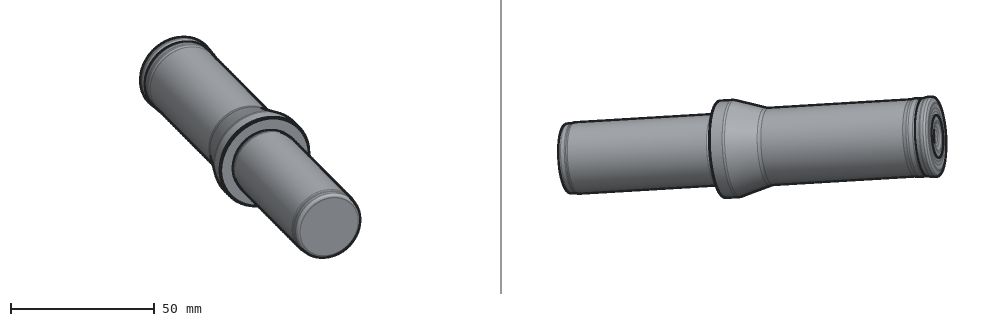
import cadquery as cq
import math

overall_length = 134.0
shank_length = 56.0
flange_back = overall_length - shank_length

head_radius = 14.0
head_length = 4.5
head_corner_round = 0.8
head_land_end = 2.75
relief_round = 1.5
relief_end_radius = 13.65

recess_depth = 0.9
recess_flat_radius = 0.5
recess_floor_depth = 0.7
recess_floor_radius = 2.9
recess_floor_round = 5.5
rim_inner_radius = 5.25
rim_inner_round = 2.0
rim_outer_radius = 7.15
rim_outer_round = 0.6
rim_wall_depth = 0.18
rim_wall_radius = 7.45
valley_depth = 0.41
valley_radius = 9.3
valley_round = 5.7
ridge_depth = 0.2
ridge_radius = 11.75
ridge_round = 1.2
shoulder_depth = 0.85

body_radius = 13.5
neck_end = 5.35
neck_end_radius = 13.6
collar_radius = 13.75
collar_start = 6.9
collar_end = 7.7
collar_back_radius = 13.72
collar_taper_end = 8.95
cone_start = 60.8
cone_foot_round = 4.5
flange_radius = 17.0
flange_start = 72.7
flange_front_round = 3.0
flange_back_chamfer = 0.4

shank_radius = 12.5
relieved_radius = 12.25
front_relief_length = 1.15
rear_relief_length = 2.8
relief_taper_length = 0.9
relief_taper_round = 2.0
shank_end_round = 1.2
front_relief_end = flange_back + front_relief_length
rear_relief_start = overall_length - rear_relief_length


def tangent_arc(before, corner, after, radius):
    """Start, middle and end of the arc that rounds a corner of an outline."""
    corner = cq.Vector(*corner)
    to_before = (cq.Vector(*before) - corner).normalized()
    to_after = (cq.Vector(*after) - corner).normalized()
    half_angle = to_before.getAngle(to_after) / 2
    setback = radius / math.tan(half_angle)
    bisector = (to_before + to_after).normalized()
    middle = corner + bisector * (radius / math.sin(half_angle) - radius)
    points = (corner + to_before * setback, middle, corner + to_after * setback)
    return [(point.x, point.y) for point in points]


def turned(outline):
    """Revolve about X an outline of (x, radius) corners, or (x, radius, rounding) where rounded."""
    corners = [corner[:2] for corner in outline]
    profile = cq.Workplane("XY").moveTo(*corners[0])
    for index in range(1, len(outline)):
        if len(outline[index]) == 3:
            start, middle, end = tangent_arc(*corners[index - 1:index + 2], outline[index][2])
            profile = profile.lineTo(*start).threePointArc(middle, end)
        else:
            profile = profile.lineTo(*corners[index])
    return profile.close().revolve(360, (0, 0, 0), (1, 0, 0))


head = turned([
    (head_length, 0),
    (recess_depth, 0),
    (recess_depth, recess_flat_radius),
    (recess_floor_depth, recess_floor_radius, recess_floor_round),
    (0, rim_inner_radius, rim_inner_round),
    (0, rim_outer_radius, rim_outer_round),
    (rim_wall_depth, rim_wall_radius),
    (valley_depth, valley_radius, valley_round),
    (ridge_depth, ridge_radius, ridge_round),
    (shoulder_depth, head_radius, head_corner_round),
    (head_land_end, head_radius, relief_round),
    (head_length, relief_end_radius),
])

holder = turned([
    (head_length, 0),
    (head_length, relief_end_radius),
    (neck_end, neck_end_radius),
    (collar_start, collar_radius),
    (collar_end, collar_back_radius),
    (collar_taper_end, body_radius),
    (cone_start, body_radius, cone_foot_round),
    (flange_start, flange_radius, flange_front_round),
    (flange_back - flange_back_chamfer, flange_radius),
    (flange_back, flange_radius - flange_back_chamfer),
    (flange_back, relieved_radius),
    (front_relief_end, relieved_radius, relief_taper_round),
    (front_relief_end + relief_taper_length, shank_radius),
    (rear_relief_start - relief_taper_length, shank_radius),
    (rear_relief_start, relieved_radius, relief_taper_round),
    (overall_length, relieved_radius, shank_end_round),
    (overall_length, 0),
])

result = cq.Compound.makeCompound([head.val(), holder.val()])